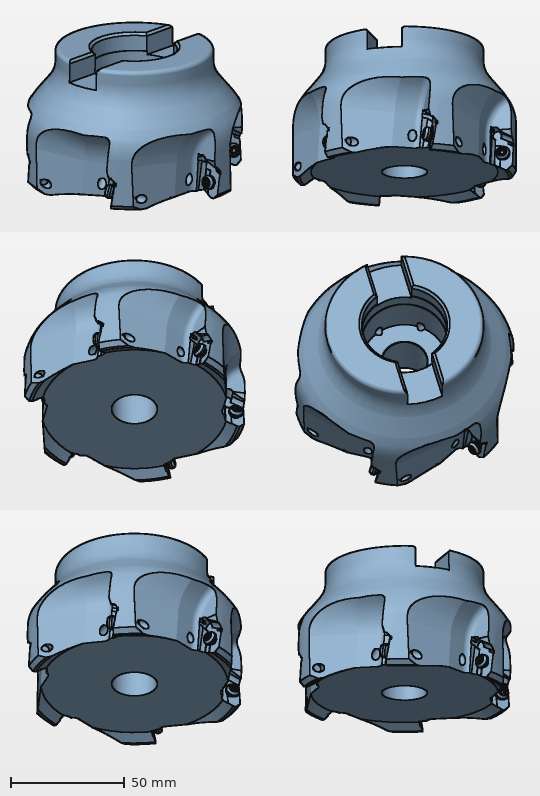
import cadquery as cq
import math

TOOTH_COUNT = 6
BODY_HEIGHT = 60.1
BODY_RADIUS = 49.5
COLLAR_RADIUS = 35.1
COLLAR_FILLET = 2.0
COLLAR_BOTTOM = 53.4
NECK_RADIUS = 14.3
SHOULDER_RADIUS = 19.8
CONE_ANGLE = math.radians(40.3)
LAND_TOP = 23.6
RIM_CHAMFER = 2.1

RECESS_DEPTH = 2.6
RECESS_OUTER_RADIUS = 46.1
RECESS_INNER_RADIUS = 41.4

BORE_RADIUS = 18.9
BORE_CHAMFER = 1.2
BORE_FLOOR = 25.9
RELIEF_RADIUS = 19.1
RELIEF_TOP = 51.8
RELIEF_BOTTOM = 44.1
BOLT_HOLE_RADIUS = 10.1
BOLT_HOLE_CHAMFER = 0.2

SLOT_WIDTH = 15.8
SLOT_DEPTH = 9.9
SLOT_CHAMFER = 1.2

GULLET_TILT = math.radians(5)
GULLET_SPLIT = 17.1
GULLET_RUNOUT = 18.2
GULLET_FLOOR = 38.2
GULLET_FILLET = 3.0
GULLET_LENGTH = 25.7
GULLET_BACK = -49.5
RAKE_FACE = -2.4
FLOOR_KINK = -14.9
BACK_ANGLE = math.radians(15)

SEAT_TILT = math.radians(10)
SEAT_CENTRE = (45.45, 0.5, 7.0)
SEAT_INNER = -4.3
SEAT_UPPER = 7.5
SEAT_UPPER_SLOPE = 0.5
SEAT_END = 9.9
SEAT_BOTTOM = -11.9
SEAT_CLEARANCE = 6.9
WALL_KINK = 0.8
WALL_SHOULDER = 2.2
INNER_WALL_FLARE = 1.1
UPPER_WALL_FLARE = 1.8
KINK_FLARE = 0.5
CORNER_RELIEF = (-3.5, 9.7)
CORNER_RELIEF_RADIUS = 2.1
STEP_WIDTH = 2.6
STEP_TOP = 5.0
STEP_DEPTH = 0.3
STEP_CORNER_RADIUS = 0.8
GROOVE_START = 1.6
GROOVE_WIDTH = 1.2
GROOVE_DEPTH = 0.5

FACET_INNER = 43.6
FACET_TOP = 18.1
FACET_BOTTOM = 11.9
FACET_FRONT = -7.9
FACET_ANGLE = math.radians(15)

SHANK_RADIUS = 1.9
SHANK_LENGTH = 9.7
SCREW_HOLE_LENGTH = 23.8
HEAD_RADIUS = 3.1
HEAD_TIP_RADIUS = 2.2
HEAD_CONE_START = 0.6
HEAD_CONE_END = 1.6
HEAD_RIM = 2.6
HEAD_TOP = 4.0
HEAD_DOME_RADIUS = 2.5
SOCKET_RADIUS = 1.14
SOCKET_LOBE_RADIUS = 0.4
SOCKET_LOBES = 6
SOCKET_DEPTH = 1.5

COOLANT_RADIUS = 1.9
COOLANT_START = cq.Vector(17.9, -2.5, 27.7)
COOLANT_END = cq.Vector(38.4, -6.7, 8.1)
COOLANT_OVERRUN = 4.0


def around(shape):
    """Copies of a shape, one for each tooth."""
    pitch = 360 / TOOTH_COUNT
    return [shape.rotate(cq.Vector(), cq.Vector(0, 0, 1), pitch * i) for i in range(TOOTH_COUNT)]


def turned_body():
    neck_width = NECK_RADIUS * (1 - math.cos(CONE_ANGLE))
    neck_point = (COLLAR_RADIUS + neck_width, COLLAR_BOTTOM - NECK_RADIUS * math.sin(CONE_ANGLE))
    neck_mid = (
        COLLAR_RADIUS + NECK_RADIUS * (1 - math.cos(CONE_ANGLE / 2)),
        COLLAR_BOTTOM - NECK_RADIUS * math.sin(CONE_ANGLE / 2),
    )
    shoulder_centre = BODY_RADIUS - SHOULDER_RADIUS
    shoulder_point = (
        shoulder_centre + SHOULDER_RADIUS * math.cos(CONE_ANGLE),
        LAND_TOP + SHOULDER_RADIUS * math.sin(CONE_ANGLE),
    )
    shoulder_mid = (
        shoulder_centre + SHOULDER_RADIUS * math.cos(CONE_ANGLE / 2),
        LAND_TOP + SHOULDER_RADIUS * math.sin(CONE_ANGLE / 2),
    )
    fillet_mid = COLLAR_FILLET * (1 - math.sqrt(0.5))
    return (
        cq.Workplane("XZ")
        .moveTo(BOLT_HOLE_RADIUS, RECESS_DEPTH)
        .lineTo(RECESS_INNER_RADIUS, RECESS_DEPTH)
        .lineTo(RECESS_OUTER_RADIUS, 0)
        .lineTo(BODY_RADIUS - RIM_CHAMFER, 0)
        .lineTo(BODY_RADIUS, RIM_CHAMFER)
        .lineTo(BODY_RADIUS, LAND_TOP)
        .threePointArc(shoulder_mid, shoulder_point)
        .lineTo(*neck_point)
        .threePointArc(neck_mid, (COLLAR_RADIUS, COLLAR_BOTTOM))
        .lineTo(COLLAR_RADIUS, BODY_HEIGHT - COLLAR_FILLET)
        .threePointArc(
            (COLLAR_RADIUS - fillet_mid, BODY_HEIGHT - fillet_mid),
            (COLLAR_RADIUS - COLLAR_FILLET, BODY_HEIGHT),
        )
        .lineTo(BORE_RADIUS + BORE_CHAMFER, BODY_HEIGHT)
        .lineTo(BORE_RADIUS, BODY_HEIGHT - BORE_CHAMFER)
        .lineTo(BORE_RADIUS, RELIEF_TOP)
        .lineTo(RELIEF_RADIUS, RELIEF_TOP)
        .lineTo(RELIEF_RADIUS, RELIEF_BOTTOM)
        .lineTo(BORE_RADIUS, RELIEF_BOTTOM)
        .lineTo(BORE_RADIUS, BORE_FLOOR)
        .lineTo(BOLT_HOLE_RADIUS + BOLT_HOLE_CHAMFER, BORE_FLOOR)
        .lineTo(BOLT_HOLE_RADIUS, BORE_FLOOR - BOLT_HOLE_CHAMFER)
        .close()
        .revolve(360, (0, 0, 0), (0, 1, 0))
    )


def drive_slot():
    half_width = SLOT_WIDTH / 2
    floor = BODY_HEIGHT - SLOT_DEPTH
    return (
        cq.Workplane("XZ")
        .moveTo(-half_width, floor)
        .lineTo(half_width, floor)
        .lineTo(half_width, BODY_HEIGHT - SLOT_CHAMFER)
        .lineTo(half_width + SLOT_CHAMFER, BODY_HEIGHT)
        .lineTo(-half_width - SLOT_CHAMFER, BODY_HEIGHT)
        .lineTo(-half_width, BODY_HEIGHT - SLOT_CHAMFER)
        .close()
        .extrude(BODY_RADIUS, both=True)
    )


def gullet():
    """Straight pocket below, the same outline swung outward above."""
    plane = cq.Plane(
        origin=(0, 0, GULLET_SPLIT),
        xDir=(1, 0, 0),
        normal=(0, math.sin(GULLET_TILT), math.cos(GULLET_TILT)),
    )
    swing_axis = GULLET_FLOOR + GULLET_RUNOUT
    back_x = GULLET_FLOOR - (FLOOR_KINK - GULLET_BACK) * math.tan(BACK_ANGLE)
    arc_mid = GULLET_FILLET * (1 - math.sqrt(0.5))
    outline = (
        cq.Workplane(plane)
        .moveTo(swing_axis, RAKE_FACE)
        .lineTo(GULLET_FLOOR + GULLET_FILLET, RAKE_FACE)
        .threePointArc(
            (GULLET_FLOOR + arc_mid, RAKE_FACE - arc_mid),
            (GULLET_FLOOR, RAKE_FACE - GULLET_FILLET),
        )
        .lineTo(GULLET_FLOOR, FLOOR_KINK)
        .lineTo(back_x, GULLET_BACK)
        .lineTo(swing_axis, GULLET_BACK)
        .close()
    )
    straight = outline.extrude(-GULLET_LENGTH)
    curved = outline.toPending().revolve(90, (swing_axis, 0, 0), (swing_axis, 1, 0))
    return straight.union(curved)


def seat_plane(height=0):
    """Plane parallel to the seat, X along the tooth's radius and Y up."""
    normal = cq.Vector(0, -math.cos(SEAT_TILT), math.sin(SEAT_TILT))
    return cq.Plane(
        origin=cq.Vector(*SEAT_CENTRE) + normal * height, xDir=(1, 0, 0), normal=normal.toTuple()
    )


def upper_wall(x, flare=0):
    """Height of the sloping upper wall of the seat at a given x in the seat plane."""
    return SEAT_UPPER + flare - SEAT_UPPER_SLOPE * x


def seat_corners(flare):
    """Corners of the seat opening; flare runs from 0 at the seat to 1 at the shoulder."""
    inner = SEAT_INNER - INNER_WALL_FLARE * flare
    upper_flare = UPPER_WALL_FLARE * flare
    return [
        (inner, SEAT_BOTTOM),
        (inner, upper_wall(inner, upper_flare)),
        (SEAT_END, upper_wall(SEAT_END, upper_flare)),
        (SEAT_END, SEAT_BOTTOM),
    ]


def flared_layer(low, low_flare, high, high_flare):
    """Layer of the seat opening between two heights above the seat."""
    return (
        cq.Workplane(seat_plane(low))
        .polyline(seat_corners(low_flare))
        .close()
        .workplane(offset=high - low)
        .polyline(seat_corners(high_flare))
        .close()
        .loft(ruled=True)
    )


def insert_seat():
    foot = flared_layer(0, 0, WALL_KINK, KINK_FLARE)
    slope = flared_layer(WALL_KINK, KINK_FLARE, WALL_SHOULDER, 1)
    mouth = flared_layer(WALL_SHOULDER, 1, SEAT_CLEARANCE, 1)
    corner = (
        cq.Workplane(seat_plane())
        .center(*CORNER_RELIEF)
        .circle(CORNER_RELIEF_RADIUS)
        .extrude(SEAT_CLEARANCE)
    )
    step = (
        cq.Workplane(seat_plane(-STEP_DEPTH))
        .moveTo(SEAT_INNER, SEAT_BOTTOM)
        .lineTo(SEAT_INNER, STEP_TOP)
        .lineTo(SEAT_INNER + STEP_WIDTH - STEP_CORNER_RADIUS, STEP_TOP)
        .radiusArc((SEAT_INNER + STEP_WIDTH, STEP_TOP - STEP_CORNER_RADIUS), STEP_CORNER_RADIUS)
        .lineTo(SEAT_INNER + STEP_WIDTH, SEAT_BOTTOM)
        .close()
        .extrude(STEP_DEPTH)
    )
    groove = (
        cq.Workplane(seat_plane(-GROOVE_DEPTH))
        .moveTo(GROOVE_START, upper_wall(GROOVE_START))
        .lineTo(SEAT_END, upper_wall(SEAT_END))
        .lineTo(SEAT_END, upper_wall(SEAT_END) - GROOVE_WIDTH)
        .lineTo(GROOVE_START, upper_wall(GROOVE_START) - GROOVE_WIDTH)
        .close()
        .extrude(GROOVE_DEPTH)
    )
    return foot.union(slope).union(mouth).union(corner).union(step).union(groove)


def rake_facet():
    """Wedge under FACET_TOP, deeper into the tooth the lower it goes."""
    rake_at_top = RAKE_FACE + (FACET_TOP - GULLET_SPLIT) * math.tan(GULLET_TILT)
    facet_foot = rake_at_top + (FACET_TOP - FACET_BOTTOM) * math.tan(FACET_ANGLE)
    return (
        cq.Workplane("YZ", origin=(FACET_INNER, 0, 0))
        .moveTo(rake_at_top, FACET_TOP)
        .lineTo(facet_foot, FACET_BOTTOM)
        .lineTo(FACET_FRONT, FACET_BOTTOM)
        .lineTo(FACET_FRONT, FACET_TOP)
        .close()
        .extrude(BODY_RADIUS - FACET_INNER)
    )


def screw_hole():
    return cq.Workplane(seat_plane()).circle(SHANK_RADIUS).extrude(-SCREW_HOLE_LENGTH)


def coolant_hole():
    direction = (COOLANT_END - COOLANT_START).normalized()
    start = COOLANT_START - direction * COOLANT_OVERRUN
    length = (COOLANT_END - start).Length + COOLANT_OVERRUN
    return cq.Workplane(cq.Plane(start, normal=direction)).circle(COOLANT_RADIUS).extrude(length)


def cutter_body():
    body = turned_body().cut(drive_slot())
    tooth_cutters = [gullet(), rake_facet(), insert_seat(), screw_hole(), coolant_hole()]
    for cutter in tooth_cutters:
        for copy in around(cutter.val()):
            body = body.cut(cq.Workplane(copy))
    return body


def clamping_screw():
    profile = (
        cq.Workplane(cq.Plane(SEAT_CENTRE, xDir=(1, 0, 0), normal=seat_plane().yDir * -1))
        .moveTo(0, -SHANK_LENGTH)
        .lineTo(SHANK_RADIUS, -SHANK_LENGTH)
        .lineTo(SHANK_RADIUS, HEAD_CONE_START)
        .lineTo(HEAD_RADIUS, HEAD_CONE_END)
        .lineTo(HEAD_RADIUS, HEAD_RIM)
        .radiusArc((HEAD_TIP_RADIUS, HEAD_TOP), -HEAD_DOME_RADIUS)
        .lineTo(0, HEAD_TOP)
        .close()
    )
    screw = profile.revolve(360, (0, 0, 0), (0, 1, 0))
    top = cq.Workplane(seat_plane(HEAD_TOP))
    socket = top.circle(SOCKET_RADIUS).extrude(-SOCKET_DEPTH)
    lobes = (
        top.polarArray(SOCKET_RADIUS, 0, 360, SOCKET_LOBES)
        .circle(SOCKET_LOBE_RADIUS)
        .extrude(-SOCKET_DEPTH)
    )
    return screw.cut(socket).cut(lobes)


body = cutter_body()
screws = around(clamping_screw().val())
result = cq.Compound.makeCompound([body.val(), *screws])